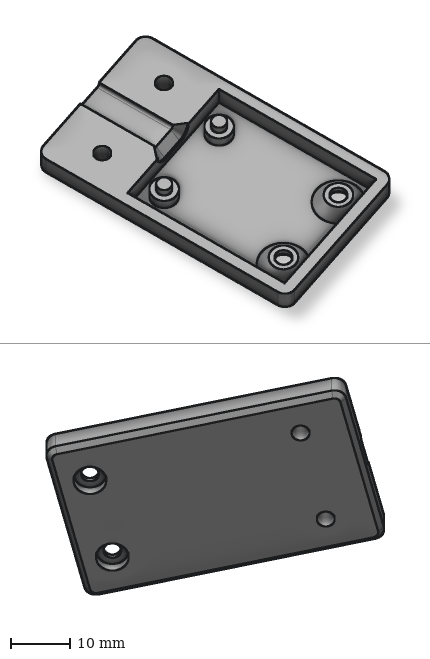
import cadquery as cq

length = 52.0
width = 31.0
height = 4.8
corner_radius = 2.05
bottom_chamfer = 1.0

wall = 2.2
floor_thickness = 1.0
pocket_start = 17.3
pocket_end = length - wall
pocket_width = width - 2 * wall

hole_diameter = 3.0
plain_hole_x = 9.0
plain_hole_y = 9.0

post_y = 8.0
post_height = 2.05
post_diameter = 5.0
post_top = floor_thickness + post_height
pin_boss_x = 21.1
pin_diameter = 2.7
pin_height = 1.5
seat_x = 45.8
seat_base_diameter = post_diameter + 2 * post_height
screw_head_diameter = 5.5
seat_ledge = 1.0

channel_half_width = 2.7
channel_depth = 0.8
channel_fillet = 0.5
flare_start = 15.3
flare_growth = 1.75
flare_end = flare_start + flare_growth


def mirrored_points(x, y):
    return [(x, -y), (x, y)]


def make_plate():
    plate = cq.Workplane("XY").box(length, width, height, centered=(False, True, False))
    return plate.edges("|Z").fillet(corner_radius).faces("<Z").chamfer(bottom_chamfer)


def make_pocket():
    block = cq.Workplane("XY", origin=(0, 0, floor_thickness))
    block = block.center((pocket_start + pocket_end) / 2, 0)
    return block.rect(pocket_end - pocket_start, pocket_width).extrude(height - floor_thickness)


def cylinders(points, diameter, base, tall):
    plane = cq.Workplane("XY", origin=(0, 0, base))
    return plane.pushPoints(points).circle(diameter / 2).extrude(tall)


def make_seat(x, y):
    base_radius = seat_base_diameter / 2
    top_radius = post_diameter / 2
    cone = cq.Solid.makeCone(base_radius, top_radius, post_height, cq.Vector(x, y, floor_thickness))
    return cq.Workplane(cone)


def channel_wire(x, growth):
    """Channel section at x, its sides and floor moved outward by growth."""
    side = channel_half_width + growth
    bottom = height - channel_depth - growth
    radius = channel_fillet + growth
    arc_y = side - radius
    arc_z = bottom + radius
    diagonal = radius * 0.5 ** 0.5
    section = (
        cq.Workplane("YZ", origin=(x, 0, 0))
        .moveTo(-side, height)
        .lineTo(-side, arc_z)
        .threePointArc((-arc_y - diagonal, arc_z - diagonal), (-arc_y, bottom))
        .lineTo(arc_y, bottom)
        .threePointArc((arc_y + diagonal, arc_z - diagonal), (side, arc_z))
        .lineTo(side, height)
        .close()
    )
    return section.wire().val()


def channel_piece(start, start_growth, end, end_growth):
    wires = [channel_wire(start, start_growth), channel_wire(end, end_growth)]
    return cq.Workplane(cq.Solid.makeLoft(wires, True))


pin_points = mirrored_points(pin_boss_x, post_y)
seat_points = mirrored_points(seat_x, post_y)
plain_hole_points = mirrored_points(plain_hole_x, plain_hole_y)

plate = make_plate()
pocket = make_pocket()
result = plate.cut(pocket)

result = result.cut(channel_piece(0, 0, flare_start, 0))
result = result.cut(channel_piece(flare_start, 0, flare_end, flare_growth))
result = result.cut(channel_piece(flare_end, flare_growth, pocket_start, flare_growth))

result = result.union(cylinders(pin_points, post_diameter, floor_thickness, post_height))
result = result.union(cylinders(pin_points, pin_diameter, post_top, pin_height))

for x, y in seat_points:
    result = result.union(make_seat(x, y).intersect(pocket))
result = result.cut(cylinders(seat_points, screw_head_diameter, 0, post_top - seat_ledge))

result = result.cut(cylinders(seat_points + plain_hole_points, hole_diameter, 0, height))